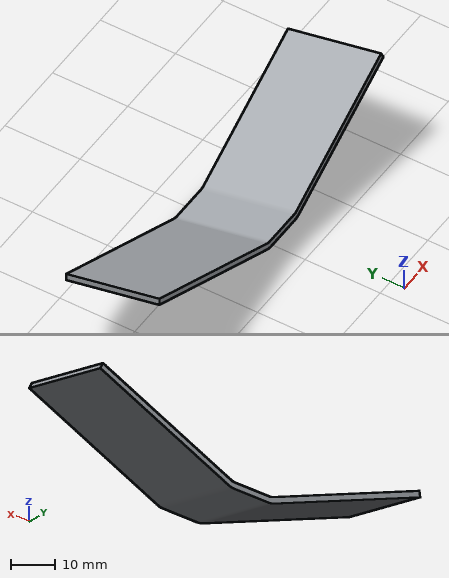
import cadquery as cq
import math

overall_span = 94.1
strip_width = 25.4
thickness = 1.5
center_flat = 10.0
inner_radius = 3.5
bend_angle = 20.2
tilt_angle = 12.0

outer_radius = inner_radius + thickness
half_flat = center_flat / 2
bend = math.radians(bend_angle)
arm_length = (overall_span / 2 - half_flat - outer_radius * math.sin(bend)) / math.cos(bend)


def bend_point(radius, angle):
    """Point on the right-hand bend, with the lower face of the centre flat at height zero."""
    return (half_flat + radius * math.sin(angle), outer_radius - radius * math.cos(angle))


def arm_end(radius):
    """Free end of the right-hand arm, on the face tangent to the given bend radius."""
    x, z = bend_point(radius, bend)
    return (x + arm_length * math.cos(bend), z + arm_length * math.sin(bend))


def mirrored(point):
    return (-point[0], point[1])


lower = [bend_point(outer_radius, bend * step / 2) for step in range(3)]
upper = [bend_point(inner_radius, bend * step / 2) for step in range(3)]
profile = (
    cq.Workplane("XZ")
    .moveTo(*mirrored(lower[0]))
    .lineTo(*lower[0])
    .threePointArc(lower[1], lower[2])
    .lineTo(*arm_end(outer_radius))
    .lineTo(*arm_end(inner_radius))
    .lineTo(*upper[2])
    .threePointArc(upper[1], upper[0])
    .lineTo(*mirrored(upper[0]))
    .threePointArc(mirrored(upper[1]), mirrored(upper[2]))
    .lineTo(*mirrored(arm_end(inner_radius)))
    .lineTo(*mirrored(arm_end(outer_radius)))
    .lineTo(*mirrored(lower[2]))
    .threePointArc(mirrored(lower[1]), mirrored(lower[0]))
    .close()
)

strip = profile.extrude(strip_width / 2, both=True)
result = strip.rotate((0, 0, 0), (1, 0, 0), -tilt_angle)